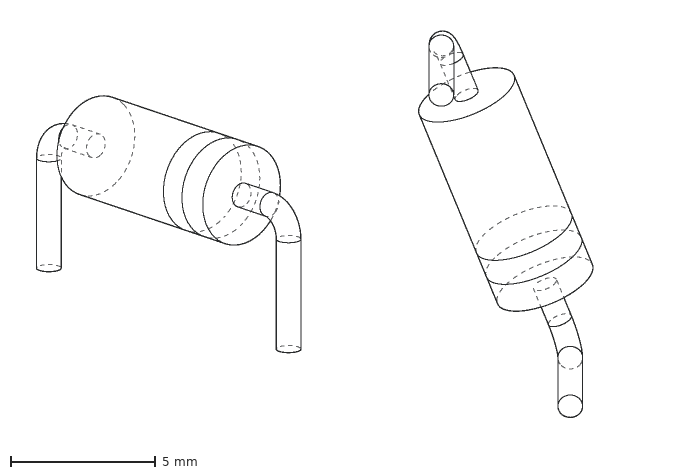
import cadquery as cq

lead_diameter = 0.86
lead_pitch = 12.7
lead_drop = 5.0
bend_radius = 1.02

case_diameter = 3.56
case_length = 7.72
band_width = 0.98
end_cap_length = 1.1

case_end = case_length / 2
band_end = case_end - end_cap_length
band_start = band_end - band_width
bend_start = lead_pitch / 2 - bend_radius


def cylinder_along_x(diameter, x_start, x_end):
    return (
        cq.Workplane("YZ", origin=(x_start, 0, 0))
        .circle(diameter / 2)
        .extrude(x_end - x_start)
    )


def axial_lead(side):
    """Straight wire from the case end face to the bend; side is +1 or -1."""
    return cylinder_along_x(lead_diameter, side * case_end, side * bend_start)


def lead_bend(side):
    """Quarter-torus elbow turning the wire from the part axis to straight down."""
    axis_direction = 1 if side > 0 else -1
    return (
        cq.Workplane("YZ", origin=(side * bend_start, 0, 0))
        .circle(lead_diameter / 2)
        .revolve(90, (0, -bend_radius, 0), (axis_direction, -bend_radius, 0))
    )


def lead_leg(side):
    """Vertical wire from the lead tip up to the bend."""
    return (
        cq.Workplane("XY", origin=(side * lead_pitch / 2, 0, -lead_drop))
        .circle(lead_diameter / 2)
        .extrude(lead_drop - bend_radius)
    )


barrel = cylinder_along_x(case_diameter, -case_end, band_start)
band = cylinder_along_x(case_diameter, band_start, band_end)
end_cap = cylinder_along_x(case_diameter, band_end, case_end)

lead_pieces = []
for side in (-1, 1):
    for make_piece in (axial_lead, lead_bend, lead_leg):
        lead_pieces.append(make_piece(side).val())

result = cq.Compound.makeCompound([barrel.val(), band.val(), end_cap.val(), *lead_pieces])